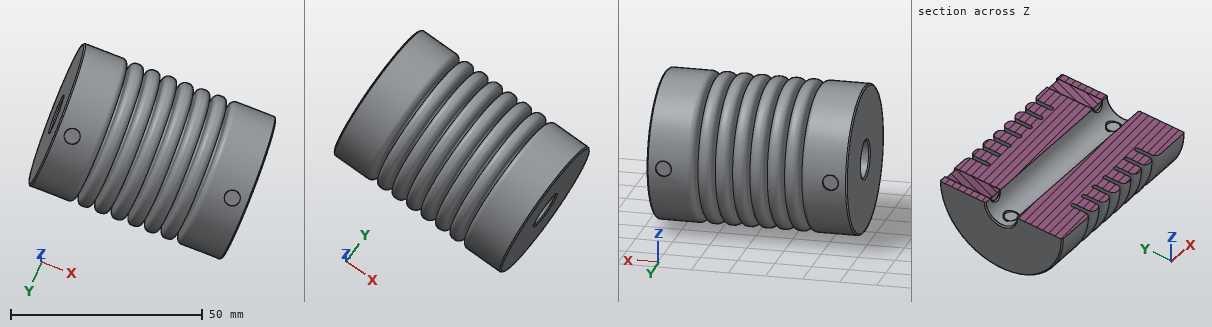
import cadquery as cq
import math

LENGTH = 54.0
OUTER_DIAMETER = 40.0
OUTER_RADIUS = OUTER_DIAMETER / 2
BORE_RADIUS = 5.0
END_CHAMFER = 0.4

RIB_COUNT = 6
GROOVE_COUNT = RIB_COUNT + 1
HUB_LENGTH = 12.5
GROOVE_WIDTH = 1.0
GROOVE_FLOOR_RADIUS = 13.5
RIB_WIDTH = (LENGTH - 2 * HUB_LENGTH - GROOVE_COUNT * GROOVE_WIDTH) / RIB_COUNT
GROOVE_PITCH = RIB_WIDTH + GROOVE_WIDTH
CREST_FILLET = 1.5
FLOOR_FILLET = 0.25

SCREW_RADIUS = 2.1
TIP_CHAMFER = 0.25
SCREW_INSET = 4.5
TIP_RADIUS = BORE_RADIUS
HEAD_RADIUS = 19.45
HOLE_OVERSHOOT = 0.55
SCREW_POSITIONS = [SCREW_INSET - LENGTH / 2, LENGTH / 2 - SCREW_INSET]
SCREW_DIRECTIONS = [(0, 1, 0), (0, 0, -1)]

DIAGONAL = math.sqrt(0.5)


def add_groove(outline, start):
    """Continue the outline from a crest, through one groove, to the next crest."""
    end = start + GROOVE_WIDTH
    crest_center = OUTER_RADIUS - CREST_FILLET
    floor_center = GROOVE_FLOOR_RADIUS + FLOOR_FILLET
    crest_mid = CREST_FILLET * (1 - DIAGONAL)
    floor_mid = FLOOR_FILLET * (1 - DIAGONAL)
    return (
        outline.lineTo(start - CREST_FILLET, OUTER_RADIUS)
        .threePointArc((start - crest_mid, OUTER_RADIUS - crest_mid), (start, crest_center))
        .lineTo(start, floor_center)
        .threePointArc(
            (start + floor_mid, GROOVE_FLOOR_RADIUS + floor_mid),
            (start + FLOOR_FILLET, GROOVE_FLOOR_RADIUS),
        )
        .lineTo(end - FLOOR_FILLET, GROOVE_FLOOR_RADIUS)
        .threePointArc((end - floor_mid, GROOVE_FLOOR_RADIUS + floor_mid), (end, floor_center))
        .lineTo(end, crest_center)
        .threePointArc((end + crest_mid, OUTER_RADIUS - crest_mid), (end + CREST_FILLET, OUTER_RADIUS))
    )


def radial_cylinder(x, direction, inner_end, outer_end):
    """Cylinder of the screw's radius, pointing away from the body axis."""
    outward = cq.Vector(*direction)
    base = cq.Vector(x, 0, 0) + outward * inner_end
    return cq.Workplane(cq.Solid.makeCylinder(SCREW_RADIUS, outer_end - inner_end, base, outward))


def make_body():
    """One-piece coupling: two hubs joined by a ribbed middle, with a through bore and screw holes."""
    half = LENGTH / 2
    outline = (
        cq.Workplane("XZ")
        .moveTo(-half + END_CHAMFER, BORE_RADIUS)
        .lineTo(-half, BORE_RADIUS + END_CHAMFER)
        .lineTo(-half, OUTER_RADIUS - END_CHAMFER)
        .lineTo(-half + END_CHAMFER, OUTER_RADIUS)
    )
    for index in range(GROOVE_COUNT):
        outline = add_groove(outline, -half + HUB_LENGTH + index * GROOVE_PITCH)
    outline = (
        outline.lineTo(half - END_CHAMFER, OUTER_RADIUS)
        .lineTo(half, OUTER_RADIUS - END_CHAMFER)
        .lineTo(half, BORE_RADIUS + END_CHAMFER)
        .lineTo(half - END_CHAMFER, BORE_RADIUS)
        .close()
    )
    body = outline.revolve(360, (0, 0, 0), (1, 0, 0))
    for x in SCREW_POSITIONS:
        for direction in SCREW_DIRECTIONS:
            body = body.cut(radial_cylinder(x, direction, 0, OUTER_RADIUS + HOLE_OVERSHOOT))
    return body


def make_set_screw(x, direction):
    """Set screw with a chamfered tip that reaches the bore and its outer end below the surface."""
    tip_center = cq.Vector(x, 0, 0) + cq.Vector(*direction) * TIP_RADIUS
    tip_edge = cq.NearestToPointSelector(tip_center.toTuple())
    return radial_cylinder(x, direction, TIP_RADIUS, HEAD_RADIUS).edges(tip_edge).chamfer(TIP_CHAMFER)


body = make_body()
set_screws = [make_set_screw(x, direction) for x in SCREW_POSITIONS for direction in SCREW_DIRECTIONS]

result = cq.Compound.makeCompound([body.val(), *[screw.val() for screw in set_screws]])